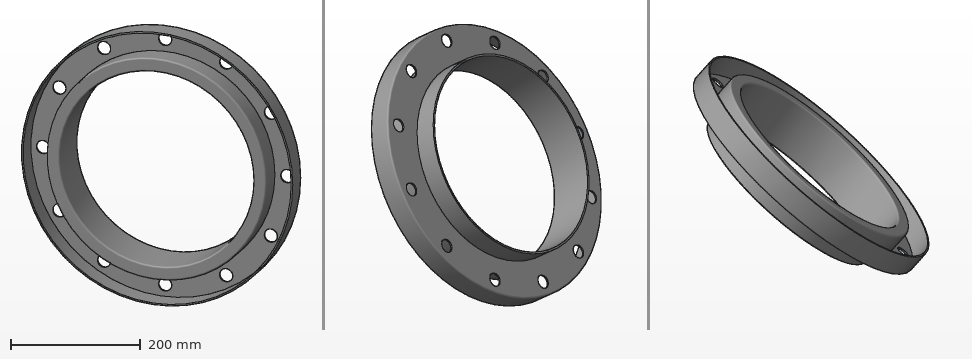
import cadquery as cq

outer_radius = 222.5
total_depth = 78.0
wall = 2.5

rim_depth = 38.3
rim_front = wall
web_back = rim_front + rim_depth
web_front = web_back - wall
rim_inner_radius = outer_radius - wall

hub_radius = 180.2
bore_radius = 159.0
neck_radius = 162.0
edge_round = 2.5

bolt_count = 12
bolt_circle_radius = 200.2
bolt_hole_diameter = 21.5


def arc_shift(radius):
    """Inset, along each axis, of a rounded corner's midpoint from the sharp corner."""
    return radius * (1 - 0.5 ** 0.5)


def flange_body():
    """Revolve the (radius, y) section, with its rounded edges, about Y."""
    shift = arc_shift(edge_round)
    section = (
        cq.Workplane("XY")
        .moveTo(bore_radius, edge_round)
        .threePointArc((bore_radius + shift, shift), (bore_radius + edge_round, 0))
        .lineTo(hub_radius - edge_round, 0)
        .threePointArc((hub_radius - shift, shift), (hub_radius, edge_round))
        .lineTo(hub_radius, web_front)
        .lineTo(rim_inner_radius, web_front)
        .lineTo(rim_inner_radius, rim_front)
        .lineTo(outer_radius, rim_front)
        .lineTo(outer_radius, web_back - edge_round)
        .threePointArc(
            (outer_radius - shift, web_back - shift),
            (outer_radius - edge_round, web_back),
        )
        .lineTo(neck_radius, web_back)
        .lineTo(neck_radius, total_depth)
        .lineTo(bore_radius, total_depth)
        .close()
    )
    return section.revolve(360, (0, 0, 0), (0, 1, 0))


def bolt_holes():
    """Cylinders on the bolt circle, running through the full depth along Y."""
    return (
        cq.Workplane("XZ")
        .polarArray(bolt_circle_radius, 0, 360, bolt_count)
        .circle(bolt_hole_diameter / 2)
        .extrude(-total_depth)
    )


result = flange_body().cut(bolt_holes())